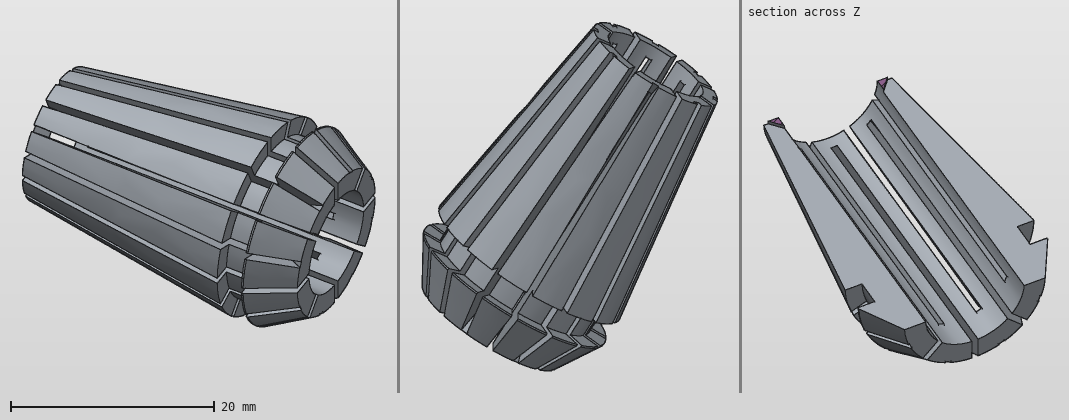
import cadquery as cq
import math

length = 31.5
max_radius = 10.5
bore_radius = 5.48

body_length = 23.95
body_half_angle = 8.0
groove_width = 2.75
groove_radius = 8.63
land_width = 0.2
nose_half_angle = 30.0

slots_per_end = 8
slot_pitch = 360.0 / slots_per_end
slot_width = 0.7
small_end_floor_radius = 6.65
small_end_floor_angle = 41.0
large_end_floor_radius = 7.72
large_end_floor_angle = 35.0
cutter_overrun = 0.3
cutter_radius = max_radius + cutter_overrun

groove_end = body_length + groove_width
land_end = groove_end + land_width
small_end_radius = max_radius - body_length * math.tan(math.radians(body_half_angle))
large_end_radius = max_radius - (length - land_end) * math.tan(math.radians(nose_half_angle))


def collet_blank():
    """Revolved sleeve without slots."""
    profile = [
        (0, bore_radius),
        (0, small_end_radius),
        (body_length, max_radius),
        (body_length, groove_radius),
        (groove_end, groove_radius),
        (groove_end, max_radius),
        (land_end, max_radius),
        (length, large_end_radius),
        (length, bore_radius),
    ]
    return cq.Workplane("XY").polyline(profile).close().revolve(360, (0, 0, 0), (1, 0, 0))


def slot_cutter(floor_radius, floor_angle):
    """Slot towards +Z, open at the large end; its floor falls from floor_radius at X = 0 to the axis."""
    floor_run = floor_radius / math.tan(math.radians(floor_angle))
    side_outline = [
        (0, floor_radius),
        (floor_run, 0),
        (length + cutter_overrun, 0),
        (length + cutter_overrun, cutter_radius),
        (0, cutter_radius),
    ]
    return cq.Workplane("XZ").polyline(side_outline).close().extrude(slot_width / 2, both=True)


def cut_slots(body, cutter, first_angle):
    """Cut one evenly spaced ring of slots."""
    for index in range(slots_per_end):
        angle = first_angle + index * slot_pitch
        body = body.cut(cutter.rotate((0, 0, 0), (1, 0, 0), angle))
    return body


large_end_slot = slot_cutter(small_end_floor_radius, small_end_floor_angle)
small_end_slot = slot_cutter(large_end_floor_radius, large_end_floor_angle)
small_end_slot = small_end_slot.mirror("YZ").translate((length, 0, 0))

result = collet_blank()
result = cut_slots(result, large_end_slot, 0)
result = cut_slots(result, small_end_slot, slot_pitch / 2)